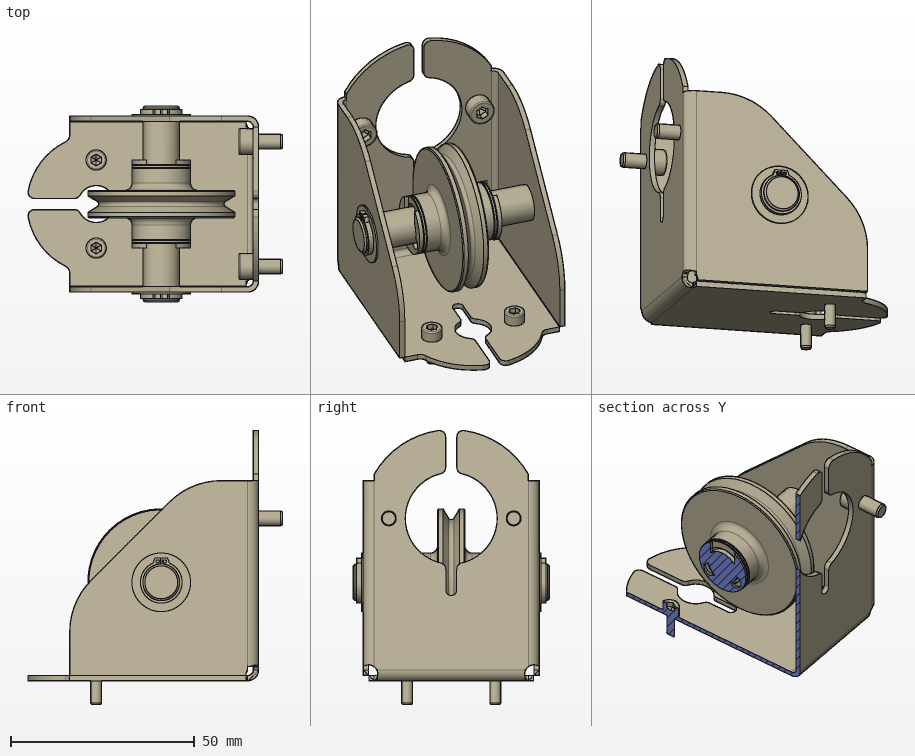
import cadquery as cq
import math

sheet = 1.5
bend_radius = 2 * sheet
bracket_width = 48.0
inner_half = bracket_width / 2 - sheet
cheek_length = 51.5
cheek_height = 54.55
cheek_cut = 33.0
cheek_round = 20.0
relief_radius = 2.5
relief_inset = 1.0
relief_rise = 0.4

hole_offset = 44.2
slit_width = 3.0
slit_round = 1.8
slit_tail = 7.0
base_half_width = inner_half - 0.1
base_hole_radius = 5.0
base_rim_radius = 18.9
base_shoulder_round = 2.0
wall_half_width = bracket_width / 2 - bend_radius
wall_hole_radius = 12.5
wall_rim_radius = 24.2

screw_reach = 6.5
screw_tip_length = 0.5
screw_tip_inset = 0.2
head_round = 0.4
socket_floor_slope = 60
point_fullness = 0.95
base_screw_radius = 1.5
base_head_radius = 2.8
base_head_height = 3.15
base_hex_flats = 2.8
base_screw_spacing = 24.0
wall_screw_radius = 2.0
wall_head_radius = 3.5
wall_head_height = 3.9
wall_hex_flats = 3.3
wall_screw_spacing = 34.0

axle_x = -26.5
axle_z = 26.8
axle_radius = 5.0
axle_length = 53.4
axle_chamfer = 0.5
washer_radius = 8.0
washer_thickness = 0.45
clip_radius = 5.7
clip_thickness = 1.35
ear_height = 6.6
ear_top_half = 1.7
ear_base_half = 2.55
ear_base_height = 4.5
ear_gap = 0.45
ear_hole_radius = 0.45
ear_hole_x = 1.0
ear_hole_z = 5.7

sheave_radius = 20.0
sheave_half_width = 3.7
rim_chamfer = 0.3
groove_mouth_half = 2.25
groove_root_radius = 0.8
groove_half_angle = math.radians(32.5)
groove_depth = 2.9
hub_radius = 8.0
hub_half_length = 10.75
hub_round = 1.95
bore_radius = 5.8
bore_depth = 0.75
score_width = 0.2
score_depth = 0.15
score_places = (9.7, 10.5)

ring_thickness = 1.2
ring_mouth = 7.9
ring_notch_radius = 1.95
ring_notch_offset = 5.2
ring_notch_angle = math.radians(35)


def box_between(low, high):
    size = [b - a for a, b in zip(low, high)]
    return cq.Workplane("XY").box(*size, centered=False).translate(low)


def keyhole_tab(half_width, shoulder, rim_radius, hole_radius, shoulder_round=0):
    """Flat tab with its hole at the origin and its slit open toward +X."""
    root = hole_offset - bend_radius
    far = rim_radius + 0.75
    strip = box_between((-shoulder, -half_width, 0), (far, half_width, sheet))
    disc = cq.Workplane("XY").circle(rim_radius).extrude(sheet).intersect(strip)
    plate = box_between((-root, -half_width, 0), (shoulder, half_width, sheet)).union(disc)
    if shoulder_round:
        corner_y = math.sqrt(rim_radius**2 - shoulder**2)
        for side in (-1, 1):
            corner = cq.selectors.BoxSelector(
                (shoulder - 0.4, side * corner_y - 0.4, -0.75),
                (shoulder + 0.4, side * corner_y + 0.4, sheet + 0.75),
            )
            plate = plate.edges("|Z").edges(corner).fillet(shoulder_round)

    slit_end = -hole_radius - slit_tail
    slit_half = slit_width / 2
    opening = (
        cq.Workplane("XY").circle(hole_radius).extrude(sheet)
        .union(cq.Workplane("XY").center(slit_end, 0).circle(slit_half).extrude(sheet))
        .union(box_between((slit_end, -slit_half, 0), (far, slit_half, sheet)))
    )
    plate = plate.cut(opening)
    slit_corners = cq.selectors.BoxSelector(
        (slit_end + 0.75, -slit_half - 0.1, -0.75), (far, slit_half + 0.1, sheet + 0.75)
    )
    return plate.edges("|Z").edges(slit_corners).fillet(slit_round)


def place(work, plane):
    return cq.Workplane(obj=work.val().moved(cq.Location(plane)))


def bend(length):
    """Quarter ring along +Z that turns from -X to -Y, outer faces on X = 0 and Y = 0."""
    ring = (
        cq.Workplane("XY").center(-bend_radius, -bend_radius)
        .circle(bend_radius).circle(bend_radius - sheet).extrude(length)
    )
    return ring.intersect(box_between((-bend_radius, -bend_radius, 0), (0, 0, length)))


def base():
    tab = keyhole_tab(
        base_half_width, cheek_length - hole_offset, base_rim_radius, base_hole_radius, base_shoulder_round
    )
    return place(tab, cq.Plane((-hole_offset, 0, 0), xDir=(-1, 0, 0), normal=(0, 0, 1)))


def wall():
    tab = keyhole_tab(wall_half_width, cheek_height - hole_offset, wall_rim_radius, wall_hole_radius)
    return place(tab, cq.Plane((0, 0, hole_offset), xDir=(0, 0, 1), normal=(-1, 0, 0)))


def base_bend():
    plane = cq.Plane((0, base_half_width, 0), xDir=(1, 0, 0), normal=(0, -1, 0))
    upright = place(bend(2 * base_half_width), plane)
    return upright.mirror("XY")


def cheek():
    """Side plate on the +Y side, with the bend that joins it to the wall."""
    plate = (
        cq.Workplane("XZ", origin=(0, bracket_width / 2, 0))
        .moveTo(-bend_radius, sheet)
        .lineTo(-cheek_length, sheet)
        .lineTo(-cheek_length, cheek_height - cheek_cut)
        .lineTo(-cheek_length + cheek_cut, cheek_height)
        .lineTo(-bend_radius, cheek_height)
        .close()
        .extrude(sheet)
    )
    cut_ends = cq.selectors.BoxSelector(
        (-cheek_length - 0.75, 0, cheek_height - cheek_cut - 0.75),
        (-cheek_length + cheek_cut + 0.75, bracket_width, cheek_height + 0.75),
    )
    plate = plate.edges("|Y").edges(cut_ends).fillet(cheek_round)
    corner = bend(cheek_height - sheet).translate((0, bracket_width / 2, sheet))
    return plate.union(corner)


def corner_relief():
    """Opening on the +Y side where the three sheets meet."""
    x, y, z = -relief_inset, inner_half, sheet + relief_rise
    through_wall = cq.Workplane("YZ", origin=(-bend_radius, y, z)).circle(relief_radius).extrude(bend_radius)
    through_base = cq.Workplane("XY", origin=(x, y, 0)).circle(relief_radius).extrude(bend_radius)
    through_cheek = (
        cq.Workplane("XZ", origin=(x, bracket_width / 2, sheet)).circle(relief_radius).extrude(bend_radius)
    )
    return through_wall.union(through_base).union(through_cheek)


def bracket():
    side = cheek()
    relief = corner_relief()
    body = base().union(base_bend()).union(wall()).union(side).union(side.mirror("XZ"))
    return body.cut(relief).cut(relief.mirror("XZ"))


def socket_screw(shank_radius, head_radius, head_height, hex_flats):
    """Socket head screw along Z, pointing down, with the outer sheet face on Z = 0."""
    head = cq.Workplane("XY", origin=(0, 0, sheet)).circle(head_radius).extrude(head_height)
    head = head.faces(">Z").edges().fillet(head_round)
    shank = cq.Workplane("XY", origin=(0, 0, sheet)).circle(shank_radius).extrude(-sheet - screw_reach)
    shank = shank.faces("<Z").edges().chamfer(screw_tip_length, screw_tip_inset)
    socket_depth = head_height / 2
    corner_diameter = hex_flats / math.cos(math.pi / 6)
    socket_floor = sheet + head_height - socket_depth
    hexagon = cq.Sketch().regularPolygon(corner_diameter / 2, 6)
    socket_start = cq.Workplane("XY", origin=(0, 0, socket_floor)).placeSketch(hexagon)
    socket = socket_start.extrude(socket_depth)
    full_point = hex_flats / 2 / math.tan(math.radians(socket_floor_slope))
    point = socket_start.extrude(-point_fullness * full_point, taper=socket_floor_slope)
    return head.union(shank).cut(socket).cut(point)


def screws():
    small = socket_screw(base_screw_radius, base_head_radius, base_head_height, base_hex_flats)
    large = socket_screw(wall_screw_radius, wall_head_radius, wall_head_height, wall_hex_flats)
    placed = []
    for side in (-1, 1):
        base_point = (-hole_offset, side * base_screw_spacing / 2, 0)
        wall_point = (0, side * wall_screw_spacing / 2, hole_offset)
        placed.append(place(small, cq.Plane(base_point, xDir=(1, 0, 0), normal=(0, 0, 1))))
        placed.append(place(large, cq.Plane(wall_point, xDir=(0, 1, 0), normal=(-1, 0, 0))))
    return placed



def sheave():
    """Grooved wheel with its hub and two score lines at each hub end."""
    root_tangent = groove_root_radius * math.cos(groove_half_angle)
    root_bottom = sheave_radius - groove_depth
    root_top = root_bottom + groove_root_radius * (1 - math.sin(groove_half_angle))
    wheel = (
        cq.Workplane("XZ")
        .moveTo(0, -sheave_half_width)
        .lineTo(sheave_radius - rim_chamfer, -sheave_half_width)
        .lineTo(sheave_radius, rim_chamfer - sheave_half_width)
        .lineTo(sheave_radius, -groove_mouth_half)
        .lineTo(root_top, -root_tangent)
        .threePointArc((root_bottom, 0), (root_top, root_tangent))
        .lineTo(sheave_radius, groove_mouth_half)
        .lineTo(sheave_radius, sheave_half_width - rim_chamfer)
        .lineTo(sheave_radius - rim_chamfer, sheave_half_width)
        .lineTo(0, sheave_half_width)
        .close()
        .revolve(360, (0, 0), (0, 1))
    )
    half_hub = (
        cq.Workplane("XZ")
        .moveTo(0, 0)
        .lineTo(hub_radius + hub_round, 0)
        .lineTo(hub_radius + hub_round, sheave_half_width)
        .radiusArc((hub_radius, sheave_half_width + hub_round), hub_round)
        .lineTo(hub_radius, hub_half_length)
        .lineTo(0, hub_half_length)
        .close()
        .revolve(360, (0, 0), (0, 1))
    )
    for height in score_places:
        score = (
            cq.Workplane("XY", origin=(0, 0, height))
            .circle(hub_radius + 0.75).circle(hub_radius - score_depth).extrude(score_width)
        )
        half_hub = half_hub.cut(score)
    bore = cq.Workplane("XY", origin=(0, 0, hub_half_length)).circle(bore_radius).extrude(-bore_depth)
    half_hub = half_hub.cut(bore)
    return wheel.union(half_hub).union(half_hub.mirror("XY"))


def hub_ring():
    """Retaining ring on the upper hub end, with its mouth toward +Y and two lower notches."""
    ring = cq.Workplane("XY", origin=(0, 0, hub_half_length)).circle(hub_radius).extrude(ring_thickness)
    top = hub_half_length + ring_thickness
    ring = ring.cut(box_between((-ring_mouth / 2, 0, hub_half_length), (ring_mouth / 2, hub_radius, top)))
    notch_y = -ring_notch_offset * math.sin(ring_notch_angle)
    for side in (-1, 1):
        notch_x = side * ring_notch_offset * math.cos(ring_notch_angle)
        notch = (
            cq.Workplane("XY", origin=(notch_x, notch_y, hub_half_length))
            .circle(ring_notch_radius).extrude(ring_thickness)
        )
        ring = ring.cut(notch)
    return ring


def end_clip():
    """Washer on the outer cheek face and the eared snap ring that holds it."""
    washer = cq.Workplane("XY", origin=(0, 0, bracket_width / 2)).circle(washer_radius).extrude(washer_thickness)
    level = cq.Workplane("XY", origin=(0, 0, bracket_width / 2 + washer_thickness))
    ears = (
        level.moveTo(-ear_base_half, ear_base_height)
        .lineTo(-ear_top_half, ear_height)
        .lineTo(ear_top_half, ear_height)
        .lineTo(ear_base_half, ear_base_height)
        .close()
        .extrude(clip_thickness)
    )
    holes = (
        level.pushPoints([(-ear_hole_x, ear_hole_z), (ear_hole_x, ear_hole_z)])
        .circle(ear_hole_radius).extrude(clip_thickness)
    )
    gap = level.center(0, ear_height).rect(ear_gap, 2 * (ear_height - axle_radius)).extrude(clip_thickness)
    clip = level.circle(clip_radius).extrude(clip_thickness).union(ears).cut(holes).cut(gap)
    return washer.union(clip)


def axle_assembly():
    axle = cq.Workplane("XY").circle(axle_radius).extrude(axle_length / 2, both=True)
    axle = axle.faces("<Z or >Z").edges().chamfer(axle_chamfer)
    end_parts = hub_ring().union(end_clip())
    whole = sheave().union(axle).union(end_parts).union(end_parts.mirror("XY"))
    return place(whole, cq.Plane((axle_x, 0, axle_z), xDir=(1, 0, 0), normal=(0, -1, 0)))


result = bracket().union(axle_assembly())
for screw in screws():
    result = result.union(screw)